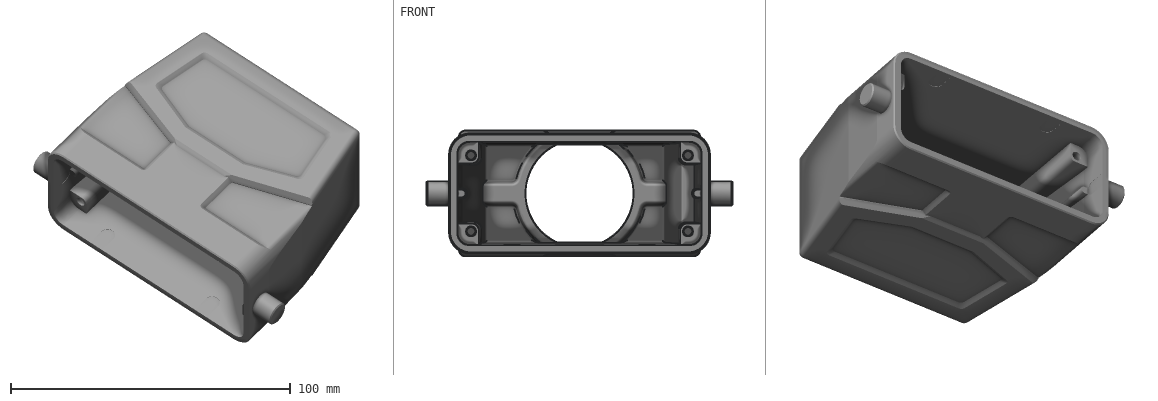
import cadquery as cq
import math


pin_span = 109.5
length = 76.0
height = 45.0

mouth_half_width = 46.6
straight_length = 10.8
bend_half_width = 44.6
bend_y = 31.9
back_half_width = 36.2
side_taper = (bend_half_width - back_half_width) / (length - bend_y)

tube_half_height = 21.5
tube_corner_radius = 7.7
tube_length = 40.5
lip_chamfer = 0.4

body_half_height = height / 2
body_edge_radius = 2.2
nose_half_width = 13.2
nose_y = 31.0
nose_angle = math.radians(18.8)
ramp_run = 1.6

wing_half_height = 20.1
wing_inner_x = 14.1
wing_front_y = 14.8
wing_wall_run = 1.6
wing_edge_radius = 2.2

recess_depth = 1.1
recess_wall_run = 1.8
recess_back_y = 68.1
recess_back_half_width = 29.6
recess_side_y = 45.0
recess_side_half_width = 33.9
recess_front_y = 37.2
recess_corner_radius = 3.3

pin_diameter = 8.8
pin_y = 6.0
pin_chamfer = 0.4

cavity_half_width = 43.7
cavity_half_height = 18.5
cavity_corner_radius = 4.4
cavity_draft = 0.8
cavity_straight_half_width = 43.6
cavity_bend_half_width = 41.7
cavity_bend_y = 32.3
cavity_back_y = 71.7
left_back_half_width = 33.6
ledge_y = 36.1
ledge_outer_half_width = 41.1
ledge_inner_half_width = 36.5
right_back_half_width = 30.2
ledge_radius = 0.8
cavity_back_fillet = 0.8

entry_diameter = 38.5
ring_radius = 23.3
arm_half_height = 4.3
pad_height = 4.4
pad_draft = 12
pad_corner_radius = 1.6
pad_edge_radius = 1.0

post_start_y = 9.1
post_draft = 1.2
boss_inner_x = 36.0
boss_inner_z = 10.8
boss_corner_radius = 2.2
screw_x = 38.8
screw_z = 13.6
screw_diameter = 3.6
screw_depth = 11.0
screw_draft = 1.5
rib_tip_x = 40.7
rib_width = 2.7

slot_width = 5.5
slot_length = post_start_y
slot_x = 24.1

SIDES = (-1, 1)


def front_plane(y):
    """Plane at the given Y, drawn in X and Z, extruding toward +Y."""
    return cq.Workplane(cq.Plane(origin=(0, y, 0), xDir=(-1, 0, 0), normal=(0, 1, 0)))


def prism(points, half_height):
    """Prism of an XY outline, centred on Z = 0."""
    return cq.Workplane("XY").polyline(points).close().extrude(half_height, both=True)


def mirrored_outline(right_side):
    """Closed outline from its right-hand points, symmetric about X = 0."""
    return right_side + [(-x, y) for x, y in reversed(right_side)]


def on_both_faces(solid):
    return solid.union(solid.mirror("XY"))


def rounded_rectangle(y, half_width, half_height, radius, depth, draft=0):
    sketch = cq.Sketch().rect(2 * half_width, 2 * half_height).vertices().fillet(radius)
    return front_plane(y).placeSketch(sketch).extrude(depth, taper=draft)


def side_envelope():
    return prism(
        mirrored_outline([
            (mouth_half_width, 0),
            (mouth_half_width, straight_length),
            (bend_half_width, bend_y),
            (back_half_width, length),
        ]),
        height,
    )


def wing_pocket(side):
    """Sunken panel on the top face, open to the side, with sloping inner walls."""
    depth = body_half_height - wing_half_height
    wall_angle = math.degrees(math.atan2(wing_wall_run, tube_half_height - wing_half_height))
    reach = mouth_half_width + length
    size = (reach - wing_inner_x, reach - wing_front_y)
    centre = (side * (reach + wing_inner_x) / 2, (reach + wing_front_y) / 2)
    return (
        cq.Workplane("XY", origin=(*centre, wing_half_height))
        .rect(*size)
        .extrude(depth, taper=-wall_angle)
    )


def mouth_tube():
    corner_rise = wing_half_height - tube_half_height + tube_corner_radius
    wing_edge_x = mouth_half_width - tube_corner_radius + math.sqrt(tube_corner_radius**2 - corner_rise**2)
    wing_edge_y = (wing_front_y + tube_length) / 2
    tube = rounded_rectangle(0, mouth_half_width, tube_half_height, tube_corner_radius, tube_length)
    tube = tube.faces("<Y").edges().chamfer(lip_chamfer)
    for side in SIDES:
        tube = tube.cut(on_both_faces(wing_pocket(side)))
    tube = tube.intersect(side_envelope())
    for side in SIDES:
        for face in SIDES:
            wing_edge = cq.selectors.NearestToPointSelector(
                (side * wing_edge_x, wing_edge_y, face * wing_half_height)
            )
            tube = tube.edges(wing_edge).fillet(wing_edge_radius)
    return tube


def nose_outline(setback):
    """V-shaped outline of the raised body, its front edges moved back by setback."""
    vertex_x = nose_half_width + (setback - ramp_run) * math.tan(nose_angle / 2)
    vertex_y = nose_y + setback - ramp_run
    wing_y = vertex_y + (mouth_half_width - vertex_x) * math.tan(nose_angle)
    return mirrored_outline([
        (vertex_x, vertex_y),
        (mouth_half_width, wing_y),
        (mouth_half_width, 2 * length),
    ])


def ramp_cutter(x, y, outward_angle, drop):
    """Wedge above a ramp that falls outward from the top edge through (x, y)."""
    outward = cq.Vector(math.cos(outward_angle), math.sin(outward_angle), 0)
    along = cq.Vector(0, 0, 1).cross(outward).multiply(-1)
    plane = cq.Plane(origin=(x, y, body_half_height), xDir=outward, normal=along)
    outline = [(0, 0), (2 * ramp_run, -2 * drop), (2 * ramp_run, drop), (0, drop)]
    return cq.Workplane(plane).polyline(outline).close().extrude(length, both=True)


def label_recess():
    outline = mirrored_outline([
        (nose_half_width, recess_front_y),
        (recess_side_half_width, recess_side_y),
        (recess_back_half_width, recess_back_y),
    ])
    wall_angle = math.degrees(math.atan2(recess_wall_run, recess_depth))
    recess = (
        cq.Workplane("XY", origin=(0, 0, body_half_height))
        .polyline(outline)
        .close()
        .extrude(-recess_depth, taper=wall_angle)
    )
    outer_corners = recess.faces("<X or >X").edges("not #Z")
    return outer_corners.fillet(recess_corner_radius)


def raised_body():
    front_y = nose_y - ramp_run
    front_half_width = bend_half_width + (bend_y - front_y) * side_taper
    body = prism(
        mirrored_outline([(front_half_width, front_y), (back_half_width, length)]),
        body_half_height,
    )
    body = body.edges("not <Y").fillet(body_edge_radius)
    body = body.intersect(prism(nose_outline(0), height))
    middle_drop = body_half_height - tube_half_height
    wing_drop = body_half_height - wing_half_height
    cutters = [ramp_cutter(0, nose_y, math.radians(-90), middle_drop)]
    for side in SIDES:
        outward_angle = math.radians(-90) + side * nose_angle
        cutters.append(ramp_cutter(side * nose_half_width, nose_y, outward_angle, wing_drop))
    for cutter in cutters:
        body = body.cut(cutter).cut(cutter.mirror("XY"))
    return body


def pins():
    rod = cq.Workplane("YZ", origin=(0, pin_y, 0)).circle(pin_diameter / 2)
    return rod.extrude(pin_span / 2, both=True).faces("<X or >X").chamfer(pin_chamfer)


def corner_boss(side_x, side_z):
    """Screw boss filling one corner of the cavity, growing toward the back."""
    reach = 2 * (cavity_half_width - boss_inner_x)
    boss = (
        front_plane(post_start_y)
        .center(-side_x * (boss_inner_x + reach / 2), side_z * (boss_inner_z + reach / 2))
        .sketch()
        .rect(reach, reach)
        .vertices()
        .fillet(boss_corner_radius)
        .finalize()
        .extrude(cavity_back_y - post_start_y, taper=-post_draft)
    )
    hole = (
        front_plane(post_start_y)
        .center(-side_x * screw_x, side_z * screw_z)
        .circle(screw_diameter / 2)
        .extrude(screw_depth, taper=screw_draft)
    )
    return boss.cut(hole)


def guide_rib(side):
    """Round-nosed rib along the middle of a side wall."""
    width = 2 * (mouth_half_width - rib_tip_x)
    return (
        front_plane(post_start_y)
        .center(-side * mouth_half_width, 0)
        .slot2D(width, rib_width)
        .extrude(cavity_back_y - post_start_y, taper=-post_draft)
    )


def entry_pad():
    """Raised ring around the cable entry with an arm to each side wall."""
    outline = (
        cq.Sketch()
        .circle(ring_radius)
        .rect(2 * cavity_half_width, 2 * arm_half_height)
        .reset()
        .clean()
        .vertices(cq.selectors.BoxSelector(
            (-ring_radius, -ring_radius, -1.1), (ring_radius, ring_radius, 1.1)
        ))
        .fillet(pad_corner_radius)
    )
    pad = front_plane(cavity_back_y).placeSketch(outline).extrude(-pad_height, taper=pad_draft)
    return pad.faces("<Y").edges().fillet(pad_edge_radius)


def mouth_slots():
    """Shallow round-ended slots that open at the mouth, on all four cavity walls."""
    slot_span = 2 * slot_length
    across_z = (
        cq.Workplane("XY")
        .pushPoints([(-slot_x, 0), (slot_x, 0)])
        .slot2D(slot_span, slot_width, 90)
        .extrude(cavity_half_height, both=True)
    )
    across_x = cq.Workplane("YZ").slot2D(slot_span, slot_width).extrude(cavity_half_width, both=True)
    return across_z.union(across_x)


def cavity():
    plan = prism(
        [
            (-cavity_half_width, 0),
            (-cavity_straight_half_width, straight_length),
            (-cavity_bend_half_width, cavity_bend_y),
            (-left_back_half_width, cavity_back_y),
            (right_back_half_width, cavity_back_y),
            (ledge_inner_half_width, ledge_y),
            (ledge_outer_half_width, ledge_y),
            (cavity_straight_half_width, straight_length),
            (cavity_half_width, 0),
        ],
        height,
    )
    ledge_edge = cq.selectors.NearestToPointSelector((ledge_inner_half_width, ledge_y, 0))
    plan = plan.edges(ledge_edge).fillet(ledge_radius)
    tube = rounded_rectangle(
        0, cavity_half_width, cavity_half_height, cavity_corner_radius, length, cavity_draft
    )
    space = plan.intersect(tube).cut(entry_pad())
    space = space.faces(">Y").edges().fillet(cavity_back_fillet)
    for side_x in SIDES:
        space = space.cut(guide_rib(side_x))
        for side_z in SIDES:
            space = space.cut(corner_boss(side_x, side_z))
    return space


def cable_entry():
    cylinder = front_plane(bend_y).circle(entry_diameter / 2).extrude(length)
    return cylinder.intersect(rounded_rectangle(
        0, cavity_half_width, cavity_half_height, cavity_corner_radius, length, cavity_draft
    ))


result = (
    mouth_tube()
    .union(raised_body())
    .union(pins())
    .cut(label_recess())
    .cut(label_recess().mirror("XY"))
    .cut(cavity())
    .cut(cable_entry())
    .cut(mouth_slots())
)